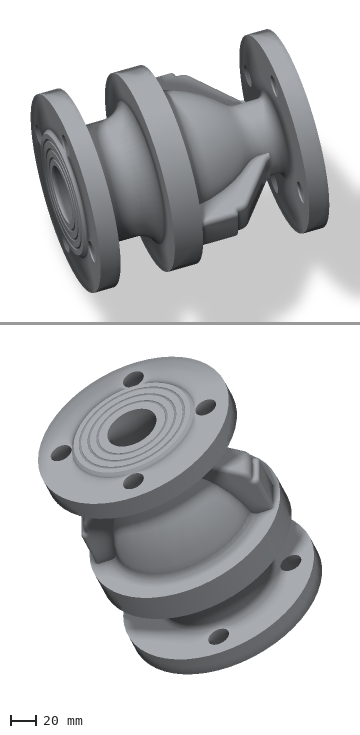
import cadquery as cq
import math

length = 200.0
front_y = -length / 2
back_y = length / 2

flange_radius = 165.0 / 2
flange_thickness = 17.0
raised_face_height = 3.0
middle_flange_thickness = 24.0
middle_flange_back_y = -10.0
middle_flange_front_y = middle_flange_back_y - middle_flange_thickness
front_flange_front_y = front_y + raised_face_height
front_flange_back_y = front_flange_front_y + flange_thickness
back_flange_back_y = back_y - raised_face_height
back_flange_front_y = back_flange_back_y - flange_thickness

raised_face_radius = 50.5
raised_base_radius = 53.5

groove_radii = [29.8, 37.5, 45.0]
groove_section_radius = 1.0

front_neck_radius = 97.0 / 2
front_neck_fillet = 5.0
flare_length = 17.5
flare_start_y = middle_flange_front_y - flare_length
flare_end_radius = 59.5

dome_foot_radius = 65.5
dome_base_radius = 60.0
dome_base_y = middle_flange_back_y + 4.2
dome_middle_radius = 52.0
dome_middle_y = 20.0
dome_tip_radius = 36.0
dome_tip_y = 45.0
back_neck_radius = 62.0 / 2
back_neck_start_y = 61.0
back_neck_fillet = 6.0

bore_radius = 48.0 / 2
throat_radius = 21.2

bolt_hole_diameter = 18.0
bolt_circle_radius = 62.5
bolt_hole_count = 4

rib_thickness = 30.0
rib_edge_fillet = 3.8
rib_inner_radius = 21.5
rib_outer_radius = 77.0
rib_foot_fillet = 2.2
rib_shoulder_y = 22.5
rib_corner_radius = 3.0
rib_step_radius = 72.5
rib_step_fillet = rib_outer_radius - rib_corner_radius - rib_step_radius
rib_bend_radius = 10.0
rib_bend_y = 25.5
rib_slope_angle = math.radians(51.3)
rib_slope_end_radius = 34.0
rib_top_y = 65.5


def revolve_about_y(profile):
    return profile.close().revolve(360, (0, 0, 0), (0, 1, 0))


def make_outer_body():
    """Solid of revolution with all flanges, necks and the dome."""
    profile = (
        cq.Workplane("XY")
        .moveTo(0, front_y)
        .lineTo(raised_face_radius, front_y)
        .lineTo(raised_base_radius, front_flange_front_y)
        .lineTo(flange_radius, front_flange_front_y)
        .lineTo(flange_radius, front_flange_back_y)
        .lineTo(front_neck_radius + front_neck_fillet, front_flange_back_y)
        .tangentArcPoint((-front_neck_fillet, front_neck_fillet))
        .lineTo(front_neck_radius, flare_start_y)
        .tangentArcPoint((flare_end_radius, middle_flange_front_y), relative=False)
        .lineTo(flange_radius, middle_flange_front_y)
        .lineTo(flange_radius, middle_flange_back_y)
        .lineTo(dome_foot_radius, middle_flange_back_y)
        .tangentArcPoint((dome_base_radius, dome_base_y), relative=False)
        .threePointArc((dome_middle_radius, dome_middle_y), (dome_tip_radius, dome_tip_y))
        .tangentArcPoint((back_neck_radius, back_neck_start_y), relative=False)
        .lineTo(back_neck_radius, back_flange_front_y - back_neck_fillet)
        .tangentArcPoint((back_neck_fillet, back_neck_fillet))
        .lineTo(flange_radius, back_flange_front_y)
        .lineTo(flange_radius, back_flange_back_y)
        .lineTo(raised_base_radius, back_flange_back_y)
        .lineTo(raised_face_radius, back_y)
        .lineTo(0, back_y)
    )
    return revolve_about_y(profile)


def make_bore():
    profile = (
        cq.Workplane("XY")
        .moveTo(0, front_y)
        .lineTo(bore_radius, front_y)
        .lineTo(bore_radius, middle_flange_back_y)
        .lineTo(throat_radius, back_neck_start_y)
        .lineTo(throat_radius, back_y)
        .lineTo(0, back_y)
    )
    return revolve_about_y(profile)


def make_ring_grooves(face_y):
    grooves = cq.Workplane("XY")
    for radius in groove_radii:
        ring = cq.Solid.makeTorus(
            radius, groove_section_radius, cq.Vector(0, face_y, 0), cq.Vector(0, 1, 0)
        )
        grooves = grooves.add(ring)
    return grooves


def make_bolt_holes(flange_front_y):
    return (
        cq.Workplane("XZ", origin=(0, flange_front_y, 0))
        .polarArray(bolt_circle_radius, 0, 360, bolt_hole_count)
        .circle(bolt_hole_diameter / 2)
        .extrude(-flange_thickness)
    )


def make_rib():
    """Rib on the +X side, with its outer outline rounded on both flanks."""
    bend_end_radius = rib_step_radius - rib_bend_radius * (1 - math.cos(rib_slope_angle))
    bend_end_y = rib_bend_y + rib_bend_radius * math.sin(rib_slope_angle)
    slope_width = bend_end_radius - rib_slope_end_radius
    slope_end_y = bend_end_y + slope_width / math.tan(rib_slope_angle)
    foot_arc_inset = rib_foot_fillet * (1 - math.sqrt(0.5))
    foot_arc_middle = (rib_outer_radius + foot_arc_inset, middle_flange_back_y + foot_arc_inset)
    rib = (
        cq.Workplane("XY", origin=(0, 0, -rib_thickness / 2))
        .moveTo(rib_inner_radius, middle_flange_back_y)
        .lineTo(rib_outer_radius + rib_foot_fillet, middle_flange_back_y)
        .threePointArc(foot_arc_middle, (rib_outer_radius, middle_flange_back_y + rib_foot_fillet))
        .lineTo(rib_outer_radius, rib_shoulder_y - rib_corner_radius)
        .tangentArcPoint((-rib_corner_radius, rib_corner_radius))
        .tangentArcPoint((-rib_step_fillet, rib_step_fillet))
        .lineTo(rib_step_radius, rib_bend_y)
        .tangentArcPoint((bend_end_radius, bend_end_y), relative=False)
        .lineTo(rib_slope_end_radius, slope_end_y)
        .tangentArcPoint((back_neck_radius, rib_top_y), relative=False)
        .lineTo(rib_inner_radius, rib_top_y)
        .close()
        .extrude(rib_thickness)
    )
    return rib.faces("|Z").edges("not(|X or <X)").fillet(rib_edge_fillet)


rib = make_rib()
result = make_outer_body().union(rib).union(rib.mirror("YZ")).cut(make_bore())
for face_y in (front_y, back_y):
    result = result.cut(make_ring_grooves(face_y))
for flange_front_y in (front_flange_front_y, back_flange_front_y):
    result = result.cut(make_bolt_holes(flange_front_y))